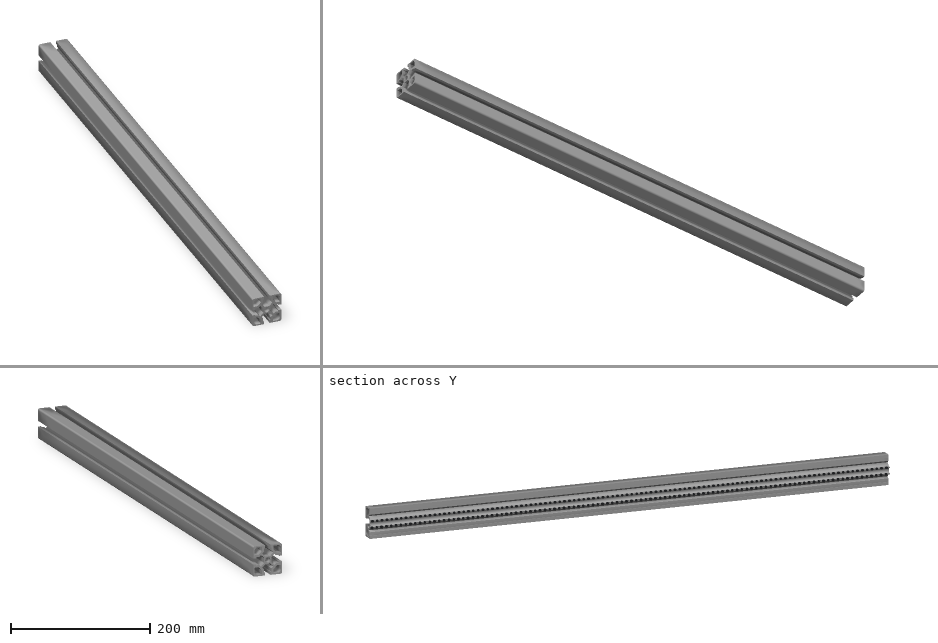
import cadquery as cq
import math

length = 800.0
side = 45.0
half_side = side / 2
corner_radius = 2.5

slot_opening = 8.7
lip_thickness = 4.5
channel_width = 12.0
taper_start = 13.0

core_side = 11.2
bore_diameter = 8.0
rib_thickness = 2.8

outer_wall = 2.0
inner_wall = 3.3
chamber_corner_radius = 5.0

slot_taper_sum = channel_width / 2 + taper_start
chamber_taper_sum = slot_taper_sum + inner_wall * math.sqrt(2)


def along_bar(outline):
    """Extrude a section outline over the full length of the bar."""
    return outline.extrude(length)


def make_slot():
    """T-slot in the +Z face: lips, channel, 45 degree taper, rib sides and core face."""
    lip_bottom = half_side - lip_thickness
    half_opening = slot_opening / 2
    half_channel = channel_width / 2
    half_core = core_side / 2
    rib_offset = rib_thickness / math.sqrt(2)
    right_side = [
        (half_opening, half_side),
        (half_opening, lip_bottom),
        (half_channel, lip_bottom),
        (half_channel, taper_start),
        ((slot_taper_sum - rib_offset) / 2, (slot_taper_sum + rib_offset) / 2),
        (half_core - rib_offset, half_core),
    ]
    left_side = [(-y, z) for y, z in reversed(right_side)]
    return along_bar(cq.Workplane("YZ").polyline(right_side + left_side).close())


def make_chamber():
    """Five-sided chamber in the (+Y, +Z) corner, rounded at its outer corner."""
    outer = half_side - outer_wall
    inner = channel_width / 2 + inner_wall
    taper_end = chamber_taper_sum - inner
    outline = [
        (outer, outer),
        (inner, outer),
        (inner, taper_end),
        (taper_end, inner),
        (outer, inner),
    ]
    chamber = along_bar(cq.Workplane("YZ").polyline(outline).close())
    outer_edge = cq.selectors.NearestToPointSelector((length / 2, outer, outer))
    return chamber.edges(outer_edge).fillet(chamber_corner_radius)


def make_bar():
    """Rounded square bar with four slots, four corner chambers and the centre bore."""
    bar = along_bar(cq.Workplane("YZ").rect(side, side)).edges("|X").fillet(corner_radius)
    quarter_cut = make_slot().union(make_chamber())
    for angle in (0, 90, 180, 270):
        bar = bar.cut(quarter_cut.rotate((0, 0, 0), (1, 0, 0), angle))
    return bar.cut(along_bar(cq.Workplane("YZ").circle(bore_diameter / 2)))


result = make_bar()